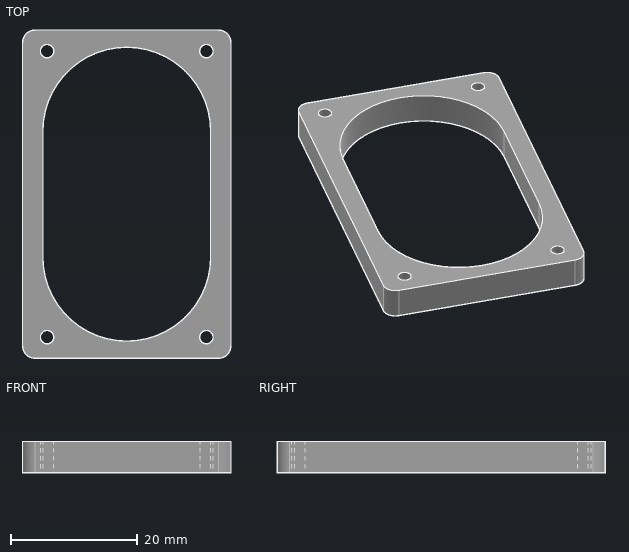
import cadquery as cq

width = 33.0
length = 52.0
thickness = 5.0
corner_radius = 2.0

opening_width = 26.5
opening_length = 46.5

hole_diameter = 2.1
hole_spacing_x = 25.2
hole_spacing_y = 45.3


def frame_plate():
    plate = cq.Workplane("XY").box(width, length, thickness)
    return plate.edges("|Z").fillet(corner_radius)


def cut_opening(plate):
    return plate.faces(">Z").workplane().slot2D(opening_length, opening_width, 90).cutThruAll()


def drill_corner_holes(plate):
    top = plate.faces(">Z").workplane(origin=(0, 0, 0))
    centres = top.rect(hole_spacing_x, hole_spacing_y, forConstruction=True).vertices()
    return centres.hole(hole_diameter)


result = drill_corner_holes(cut_opening(frame_plate()))